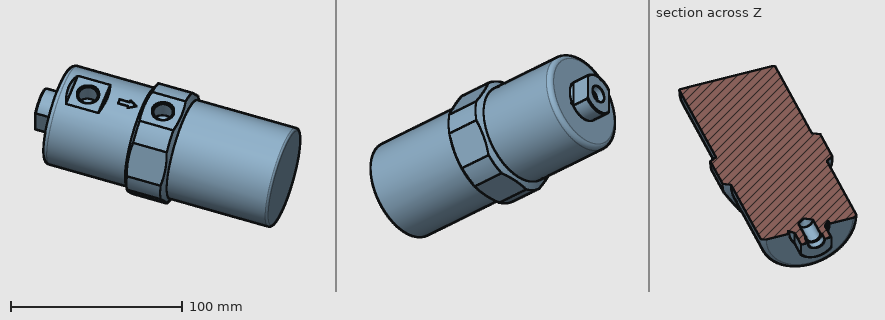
import cadquery as cq
import math


total_length = 150.7
body_start = 11.3
body_radius = 30.0
front_round = 3.0
rear_round = 1.4

collar_start = 62.7
collar_end = 88.5
collar_across_flats = 65.0
collar_corner_diameter = 68.5
collar_corner_radius = collar_corner_diameter / 2
collar_bevel_angle = 30.0

neck_radius = 12.5
neck_across_flats = 19.0
neck_flat_end = 10.9
neck_flat_runout_angle = 45.0
neck_edge_chamfer = 0.5

neck_hole_radius = 4.4
neck_hole_depth = 18.1
neck_counterbore_radius = 5.1
neck_counterbore_depth = 5.1
neck_hole_mouth_radius = 5.3
drill_tip_angle = 118.0

seat_start = 19.5
seat_length = 20.0
seat_height = 28.0

port_radius = 5.7
port_mouth_diameter = 13.1
port_mouth_radius = port_mouth_diameter / 2
seat_port_x = seat_start + seat_length / 2
seat_port_core_radius = 16.6
collar_port_x = 75.8
collar_port_core_radius = 21.1

arrow_start = 48.5
arrow_head_start = 54.7
arrow_tip = 59.4
arrow_shaft_half_width = 1.5
arrow_head_half_width = 2.9
arrow_depth = 0.3


def cylinder_x(start, end, radius):
    """Solid cylinder along X between two x positions."""
    return cq.Workplane("YZ").workplane(offset=start).circle(radius).extrude(end - start)


def revolve_x(outline):
    """Solid of revolution about X from a closed (x, radius) outline."""
    return cq.Workplane("XY").polyline(outline).close().revolve(360, (0, 0, 0), (1, 0, 0))


def make_body():
    body = cylinder_x(body_start, total_length, body_radius)
    return body.faces("<X").edges().fillet(front_round).faces(">X").edges().fillet(rear_round)


def make_collar():
    """Hexagon with flats at the top and bottom, trimmed by a bevelled round envelope."""
    hexagon = (
        cq.Workplane("YZ")
        .workplane(offset=collar_start)
        .transformed(rotate=(0, 0, 30))
        .polygon(6, collar_across_flats, circumscribed=True)
        .extrude(collar_end - collar_start)
    )
    bevel_length = (collar_corner_radius - body_radius) * math.tan(math.radians(collar_bevel_angle))
    envelope = revolve_x([
        (collar_start, 0),
        (collar_start, body_radius),
        (collar_start + bevel_length, collar_corner_radius),
        (collar_end - bevel_length, collar_corner_radius),
        (collar_end, body_radius),
        (collar_end, 0),
    ])
    return hexagon.intersect(envelope)


def make_neck():
    return cylinder_x(0, body_start, neck_radius).faces("<X").edges().chamfer(neck_edge_chamfer)


def make_flat_cutter():
    """Material removed beside the +Y wrench flat; its sloped end runs out just inside the body face."""
    half_width = neck_across_flats / 2
    flat_depth = neck_radius - half_width
    runout_length = flat_depth / math.tan(math.radians(neck_flat_runout_angle))
    profile = (
        cq.Workplane("XY")
        .workplane(offset=-neck_radius)
        .polyline([
            (0, half_width),
            (neck_flat_end, half_width),
            (neck_flat_end + runout_length, neck_radius),
            (0, neck_radius),
        ])
        .close()
        .extrude(2 * neck_radius)
    )
    return profile.intersect(cylinder_x(0, neck_flat_end + runout_length, neck_radius))


def make_neck_hole():
    """Counterbored hole with a chamfered mouth and a conical drill tip."""
    mouth_depth = neck_hole_mouth_radius - neck_counterbore_radius
    tip_length = neck_hole_radius / math.tan(math.radians(drill_tip_angle / 2))
    return revolve_x([
        (0, 0),
        (0, neck_hole_mouth_radius),
        (mouth_depth, neck_counterbore_radius),
        (neck_counterbore_depth, neck_counterbore_radius),
        (neck_counterbore_depth, neck_hole_radius),
        (neck_hole_depth, neck_hole_radius),
        (neck_hole_depth + tip_length, 0),
    ])


def make_seat_cutter():
    """Trapezoid swept along Y: a flat floor with 45 degree end walls."""
    rise = body_radius - seat_height
    seat_end = seat_start + seat_length
    return (
        cq.Workplane("XZ")
        .polyline([
            (seat_start, seat_height),
            (seat_end, seat_height),
            (seat_end + rise, body_radius),
            (seat_start - rise, body_radius),
        ])
        .close()
        .extrude(body_radius, both=True)
    )


def make_port(x, top, core_radius):
    """Vertical port with a chamfered mouth at height `top` and a floor on the inner core."""
    mouth_depth = port_mouth_radius - port_radius
    bore = (
        cq.Workplane("XZ", origin=(x, 0, 0))
        .polyline([
            (0, 0),
            (port_radius, 0),
            (port_radius, top - mouth_depth),
            (port_mouth_radius, top),
            (0, top),
        ])
        .close()
        .revolve(360, (0, 0, 0), (0, 1, 0))
    )
    return bore.cut(cylinder_x(x - port_mouth_radius, x + port_mouth_radius, core_radius))


def make_arrow():
    """Arrow pointing along +X, with a floor that follows the curve of the body."""
    arrow = (
        cq.Workplane("XY")
        .polyline([
            (arrow_start, -arrow_shaft_half_width),
            (arrow_head_start, -arrow_shaft_half_width),
            (arrow_head_start, -arrow_head_half_width),
            (arrow_tip, 0),
            (arrow_head_start, arrow_head_half_width),
            (arrow_head_start, arrow_shaft_half_width),
            (arrow_start, arrow_shaft_half_width),
        ])
        .close()
        .extrude(body_radius)
    )
    return arrow.cut(cylinder_x(arrow_start, arrow_tip, body_radius - arrow_depth))


flat_cutter = make_flat_cutter()

result = (
    make_body()
    .union(make_collar())
    .union(make_neck())
    .cut(flat_cutter)
    .cut(flat_cutter.mirror("XZ"))
    .cut(make_neck_hole())
    .cut(make_seat_cutter())
    .cut(make_port(seat_port_x, seat_height, seat_port_core_radius))
    .cut(make_port(collar_port_x, collar_across_flats / 2, collar_port_core_radius))
    .cut(make_arrow())
)